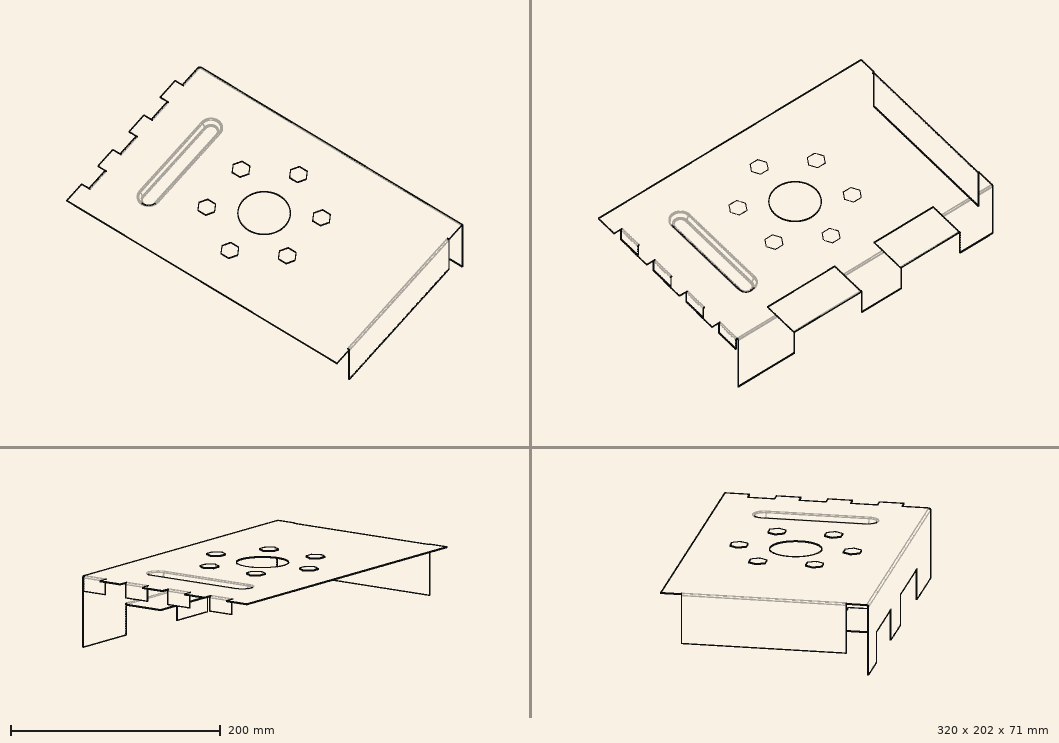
import cadquery as cq
import math


sheet = 1.0
bend_outer = 2 * sheet
bend_inner = bend_outer - sheet
length = 320.0
plate_depth = 200.0
rear_face = plate_depth + bend_outer
centre_y = plate_depth / 2

finger_length = 10.0
tab_count = 4
edge_pitch = plate_depth / tab_count
finger_width = 24.0
tab_width = edge_pitch - finger_width
tab_drop = 15.0

rear_drop = 70.0
tongue_level = 40.0
notch_top = tongue_level - bend_inner
notch_spans = [(78.5, 160.3), (208.3, 280.0)]
tongue_reach = 41.5

right_width = 160.0
right_drop = 50.0
right_start_x = length - bend_outer
right_start_y = centre_y - right_width / 2

hole_diameter = 50.0
pad_count = 6
pad_sides = 6
pad_ring_radius = 55.0
pad_across_flats = 16.0
pad_height = sheet

trough_x = 60.0
trough_centres = 100.0
trough_floor_width = 13.5
trough_depth = 6.0
trough_draft = 28.0


def box(x0, x1, y0, y1, z0, z1):
    return cq.Workplane("XY").box(x1 - x0, y1 - y0, z1 - z0, centered=False).translate((x0, y0, z0))


def folded_flange(width, drop):
    """Bend and wall leaving the plate edge at the origin toward +X, spanning Y = 0 to width."""
    bend_mid = math.sqrt(0.5)
    profile = (
        cq.Workplane("XZ")
        .threePointArc((bend_outer * bend_mid, bend_outer * (bend_mid - 1)), (bend_outer, -bend_outer))
        .lineTo(bend_outer, -drop)
        .lineTo(bend_inner, -drop)
        .lineTo(bend_inner, -bend_outer)
        .threePointArc((bend_inner * bend_mid, bend_inner * bend_mid - bend_outer), (0, -sheet))
        .close()
    )
    return profile.extrude(-width)


def turned(flange, angle, corner):
    """Flange turned about the vertical and moved to its corner of the part."""
    return flange.rotate((0, 0, 0), (0, 0, 1), angle).translate(corner)


def plate():
    """Flat sheet, relieved on the right where the flange bends down."""
    blank = box(0, length, 0, plate_depth, -sheet, 0)
    right_relief = box(right_start_x, length, right_start_y, right_start_y + right_width, -sheet, 0)
    return blank.cut(right_relief)


def add_left_tabs(body):
    for index in range(tab_count):
        tab_start = index * edge_pitch + finger_width
        tab_end = tab_start + tab_width
        body = body.cut(box(0, finger_length, tab_start, tab_end, -sheet, 0))
        body = body.union(turned(folded_flange(tab_width, tab_drop), 180, (finger_length, tab_end, 0)))
    return body


def add_right_flange(body):
    corner = (right_start_x, right_start_y, 0)
    return body.union(turned(folded_flange(right_width, right_drop), 0, corner))


def add_rear_flange(body):
    flange = turned(folded_flange(length - finger_length, rear_drop), 90, (length, plate_depth, 0))
    for start, end in notch_spans:
        flange = flange.cut(box(start, end, plate_depth, rear_face, -rear_drop, -notch_top))
        tipped = folded_flange(end - start, tongue_reach).rotate((0, 0, 0), (0, 1, 0), 90)
        tongue = turned(tipped, 90, (end, rear_face, -notch_top))
        flange = flange.union(tongue)
    return body.union(flange)


def drafted_slot(floor_width, depth, floor_round):
    """Slot-shaped plug that widens from its rounded floor up to the top face of the plate."""
    plug = (
        cq.Workplane("XY", origin=(trough_x, centre_y, -depth))
        .slot2D(trough_centres + floor_width, floor_width, 90)
        .extrude(depth, taper=-trough_draft)
    )
    return plug.faces("<Z").edges().fillet(floor_round)


def round_trough_rim(body, rim_z, radius):
    """Round the slot-shaped edge where the trough meets the plate face at the given height."""
    half_x = 2 * trough_floor_width
    half_y = trough_centres / 2 + half_x
    rim = cq.selectors.BoxSelector(
        (trough_x - half_x, centre_y - half_y, rim_z - sheet / 3),
        (trough_x + half_x, centre_y + half_y, rim_z + sheet / 3),
    )
    return body.edges(rim).fillet(radius)


def add_trough(body):
    """Trough pressed down from the plate, keeping the sheet thickness round every bend."""
    wall_offset = sheet * math.tan(math.radians(90 - trough_draft) / 2)
    outer_width = trough_floor_width + 2 * wall_offset
    body = body.union(drafted_slot(outer_width, trough_depth + sheet, bend_outer))
    body = body.cut(drafted_slot(trough_floor_width, trough_depth, bend_inner))
    body = round_trough_rim(body, -sheet, bend_inner)
    return round_trough_rim(body, 0, bend_outer)


def add_pads(body):
    pads = (
        cq.Workplane("XY", origin=(length / 2, centre_y, 0))
        .polarArray(pad_ring_radius, 90, 360, pad_count, rotate=False)
        .polygon(pad_sides, pad_across_flats / math.cos(math.pi / pad_sides))
        .extrude(pad_height)
    )
    return body.union(pads)


def cut_centre_hole(body):
    hole = cq.Workplane("XY", origin=(length / 2, centre_y, 0)).circle(hole_diameter / 2).extrude(-sheet)
    return body.cut(hole)


result = plate()
result = add_trough(result)
result = add_left_tabs(result)
result = add_right_flange(result)
result = add_rear_flange(result)
result = add_pads(result)
result = cut_centre_hole(result)